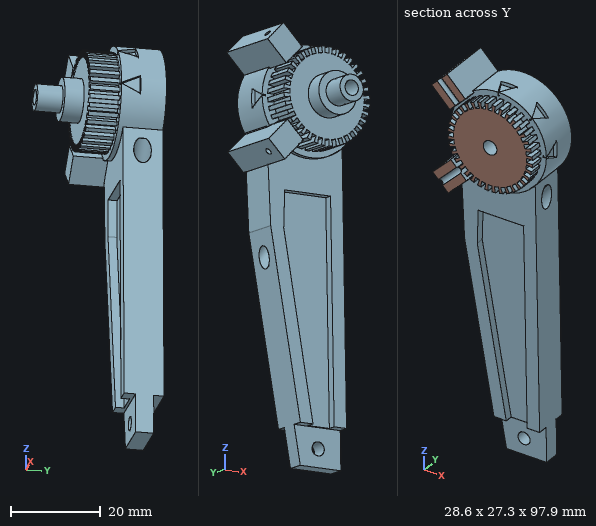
import cadquery as cq
import math


DISC_RADIUS = 12.85
DISC_FRONT = 10.3
GEAR_FRONT = 17.1
COLLAR_RADIUS = 5.0
COLLAR_FRONT = 21.5
SHAFT_DIAMETER = 6.16
SHAFT_FRONT = 27.28
BORE_DIAMETER = 3.51

TOOTH_COUNT = 36
GEAR_TIP_RADIUS = 11.4
GEAR_ROOT_RADIUS = 9.85
TOOTH_GAP_WIDTH = 1.0

BLOCK_ANGLES = (135, 225)
BLOCK_INNER_RADIUS = 12.05
BLOCK_OUTER_RADIUS = 19.05
BLOCK_WIDTH = 6.0
BLOCK_SIDE_SHIFT = 0.2
PIN_HOLE_DIAMETER = 1.5
PIN_HOLE_DEPTH_POSITION = 13.7

POINTER_ANGLES = (0, 45, 90, 180)
POINTER_BASE_POSITION = 5.9
POINTER_TIP_POSITION = DISC_FRONT + 0.2
POINTER_WIDTH = 4.3
POINTER_FLOOR_RADIUS = 11.9
POINTER_OVERCUT = 1.0

ARM_FRONT = 9.15
ARM_BOTTOM = -82.4
ARM_START = -6.0
ARM_LEFT_START = -11.0
ARM_RIGHT_START = 9.05
ARM_KINK = (-9.85, -29.3)
ARM_LEFT_BOTTOM = -0.35
ARM_RIGHT_BOTTOM = 10.45

LUG_TOP = -73.25
LUG_BACK = 2.4
LUG_THICKNESS = 4.15
LUG_FRONT = LUG_BACK + LUG_THICKNESS
LUG_HOLE_DIAMETER = 3.2
LUG_HOLE_CENTER = (4.4, -78.1)

POCKET_DEPTH = 2.0
POCKET_TOP = -20.7
POCKET_LEFT_TOP = -6.15
POCKET_KINK = (-6.4, -29.4)
POCKET_LEFT_BOTTOM = 1.35
POCKET_RIGHT_TOP = 6.0
POCKET_RIGHT_BOTTOM = 6.95

CROSS_HOLE_DIAMETER = 4.0
CROSS_HOLE_ANGLE = 50.0
CROSS_HOLE_ENTRY_Z = -35.6
CROSS_HOLE_DEPTH_POSITION = 4.7
CROSS_HOLE_LENGTH = 60.0


def plane_at(depth):
    """Plane facing forward, a given depth in front of the back face."""
    return cq.Workplane("XZ", origin=(0, -depth, 0))


def cylinder(radius, back, front):
    return plane_at(back).circle(radius).extrude(front - back)


def prism(points, back, front):
    return plane_at(back).polyline(points).close().extrude(front - back)


def turn(shape, angle):
    """Turn a shape about the shaft axis, from +X toward +Z."""
    return shape.rotate((0, 0, 0), (0, -1, 0), angle)


def make_gear():
    gear = cylinder(GEAR_TIP_RADIUS, DISC_FRONT, GEAR_FRONT)
    gap_length = 2 * (GEAR_TIP_RADIUS - GEAR_ROOT_RADIUS)
    gaps = (
        plane_at(DISC_FRONT)
        .polarArray(GEAR_ROOT_RADIUS + gap_length / 2, 0, 360, TOOTH_COUNT)
        .rect(gap_length, TOOTH_GAP_WIDTH)
        .extrude(GEAR_FRONT - DISC_FRONT)
    )
    return gear.cut(gaps)


def make_block(angle):
    """Stop block with a pin hole through it along the radial direction."""
    length = BLOCK_OUTER_RADIUS - BLOCK_INNER_RADIUS
    middle = (BLOCK_INNER_RADIUS + BLOCK_OUTER_RADIUS) / 2
    block = plane_at(0).center(middle, BLOCK_SIDE_SHIFT).rect(length, BLOCK_WIDTH).extrude(GEAR_FRONT)
    pin_hole = (
        cq.Workplane("YZ", origin=(BLOCK_INNER_RADIUS, -PIN_HOLE_DEPTH_POSITION, BLOCK_SIDE_SHIFT))
        .circle(PIN_HOLE_DIAMETER / 2)
        .extrude(length)
    )
    return turn(block.cut(pin_hole), angle)


def make_pointer(angle):
    """Cutter for a triangle whose tip just breaks through the front face of the disc."""
    half_width = POINTER_WIDTH / 2
    triangle = (
        cq.Workplane("YZ", origin=(POINTER_FLOOR_RADIUS, 0, 0))
        .polyline(
            [
                (-POINTER_BASE_POSITION, half_width),
                (-POINTER_BASE_POSITION, -half_width),
                (-POINTER_TIP_POSITION, 0),
            ]
        )
        .close()
        .extrude(DISC_RADIUS - POINTER_FLOOR_RADIUS + POINTER_OVERCUT)
    )
    return turn(triangle, angle)


def make_arm():
    outline = [
        (ARM_LEFT_START, ARM_START),
        ARM_KINK,
        (ARM_LEFT_BOTTOM, ARM_BOTTOM),
        (ARM_RIGHT_BOTTOM, ARM_BOTTOM),
        (ARM_RIGHT_START, ARM_START),
    ]
    pocket_outline = [
        (POCKET_LEFT_TOP, POCKET_TOP),
        POCKET_KINK,
        (POCKET_LEFT_BOTTOM, LUG_TOP),
        (POCKET_RIGHT_BOTTOM, LUG_TOP),
        (POCKET_RIGHT_TOP, POCKET_TOP),
    ]
    tip_outline = [
        (ARM_LEFT_START, LUG_TOP),
        (ARM_LEFT_START, ARM_BOTTOM),
        (ARM_RIGHT_BOTTOM, ARM_BOTTOM),
        (ARM_RIGHT_BOTTOM, LUG_TOP),
    ]
    arm = prism(outline, 0, ARM_FRONT)
    arm = arm.cut(prism(pocket_outline, ARM_FRONT - POCKET_DEPTH, ARM_FRONT))
    arm = arm.cut(prism(tip_outline, 0, LUG_BACK))
    arm = arm.cut(prism(tip_outline, LUG_FRONT, ARM_FRONT))
    lug_hole = plane_at(0).center(*LUG_HOLE_CENTER).circle(LUG_HOLE_DIAMETER / 2).extrude(ARM_FRONT)
    return arm.cut(lug_hole).cut(make_cross_hole())


def make_cross_hole():
    """Cutter rising from the slanted left side of the arm to its right side."""
    kink_x, kink_z = ARM_KINK
    side_slope = (ARM_LEFT_BOTTOM - kink_x) / (ARM_BOTTOM - kink_z)
    entry_x = kink_x + side_slope * (CROSS_HOLE_ENTRY_Z - kink_z)
    angle = math.radians(CROSS_HOLE_ANGLE)
    axis_plane = cq.Plane(
        origin=(entry_x, -CROSS_HOLE_DEPTH_POSITION, CROSS_HOLE_ENTRY_Z),
        xDir=(0, 1, 0),
        normal=(math.cos(angle), 0, math.sin(angle)),
    )
    return cq.Workplane(axis_plane).circle(CROSS_HOLE_DIAMETER / 2).extrude(CROSS_HOLE_LENGTH / 2, both=True)


disc = cylinder(DISC_RADIUS, 0, DISC_FRONT)
for pointer_angle in POINTER_ANGLES:
    disc = disc.cut(make_pointer(pointer_angle))

result = disc.union(make_arm())
result = result.union(make_gear())
result = result.union(cylinder(COLLAR_RADIUS, GEAR_FRONT, COLLAR_FRONT))
result = result.union(cylinder(SHAFT_DIAMETER / 2, COLLAR_FRONT, SHAFT_FRONT))
for block_angle in BLOCK_ANGLES:
    result = result.union(make_block(block_angle))
result = result.cut(cylinder(BORE_DIAMETER / 2, 0, SHAFT_FRONT))